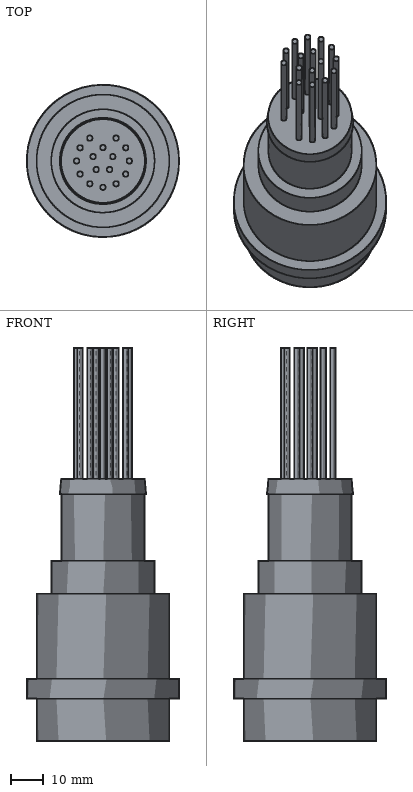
import cadquery as cq
import math

shell_diameter = 40.5
shell_top = 45.0
flange_diameter = 46.5
flange_bottom = 13.0
flange_height = 6.0
shoulder_diameter = 31.5
shoulder_top = 55.0
neck_diameter = 25.5
neck_top = 75.4

collar_base_diameter = 26.4
collar_top_diameter = 25.5
collar_top = 80.0

overall_height = 120.0
wire_diameter = 1.7
ring_positions = 12
ring_radius = 8.0
inner_single_y = 4.1
inner_pairs = [(3.0, 1.3), (2.0, -2.6)]


def cylinder(diameter, bottom, top):
    """Upright cylinder centred on the Z axis."""
    return cq.Workplane("XY").workplane(offset=bottom).circle(diameter / 2).extrude(top - bottom)


def make_body():
    flange = cylinder(flange_diameter, flange_bottom, flange_bottom + flange_height)
    shoulder = cylinder(shoulder_diameter, shell_top, shoulder_top)
    neck = cylinder(neck_diameter, shoulder_top, neck_top)
    return cylinder(shell_diameter, 0, shell_top).union(flange).union(shoulder).union(neck)


def make_collar():
    return (
        cq.Workplane("XY")
        .workplane(offset=neck_top)
        .circle(collar_base_diameter / 2)
        .workplane(offset=collar_top - neck_top)
        .circle(collar_top_diameter / 2)
        .loft()
    )


def wire_centres():
    centres = [(0, inner_single_y)]
    for x, y in inner_pairs:
        centres += [(x, y), (-x, y)]
    for position in range(1, ring_positions):
        angle = math.pi / 2 + position * 2 * math.pi / ring_positions
        centres.append((ring_radius * math.cos(angle), ring_radius * math.sin(angle)))
    return centres


def make_wires():
    return (
        cq.Workplane("XY")
        .workplane(offset=collar_top)
        .pushPoints(wire_centres())
        .circle(wire_diameter / 2)
        .extrude(overall_height - collar_top)
    )


result = make_body().union(make_collar()).union(make_wires())